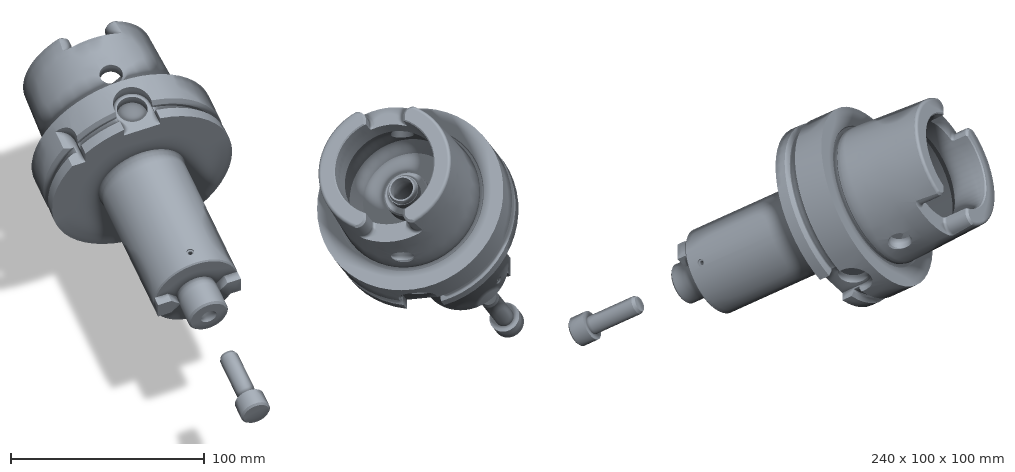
import cadquery as cq
import math

CLEARANCE = 1.0
BEVEL_ANGLE = 45.0

SHANK_LENGTH = 50.0
SHANK_BASE_RADIUS = 38.0
SHANK_TAPER = 1 / 20
SHANK_END_FILLET = 1.7
SHANK_TIP_RADIUS = SHANK_BASE_RADIUS - SHANK_TAPER * SHANK_LENGTH
LAND_START_X = -3.2
LAND_END_X = -1.4
RELIEF_DEPTH = 0.5
FACE_RECESS_RADIUS = 39.5
FACE_RECESS_DEPTH = 0.5

BORE_RADIUS = 26.5
BORE_ENTRY_RADIUS = 27.1
RECESS_START_X = -30.5
RECESS_RADIUS = 31.0
BORE_FLOOR_RADIUS = 25.3
BORE_FLOOR_X = 0.0
COLLAR_RADIUS = 12.0
COLLAR_X = -8.0
COLLAR_CHAMFER = 0.8
NOSE_RADIUS = 8.0
NOSE_STEP_X = -13.3
NOSE_CONE_RADIUS = 15.3 / 2
NOSE_TIP_RADIUS = 6.9
NOSE_TIP_X = -16.2
COOLANT_BORE_RADIUS = 6.0
COOLANT_BORE_END_X = 85.0
THREAD_RADIUS = 8.7 / 2
ACCESS_HOLE_DIAMETER = 12.0
ACCESS_HOLE_X = -14.8
COUNTERSINK_HEIGHT = 3.0

DRIVE_SLOT_HALF_WIDTH = 10.0
DRIVE_SLOT_FLARE_RADIUS = 5.0
DRIVE_SLOT_FLARE_Z = 27.0
TOP_DRIVE_SLOT_DEPTH = 9.6
BOTTOM_DRIVE_SLOT_DEPTH = 14.6
DRIVE_SLOT_CHAMFER = 1.2
DRIVE_SLOT_FILLET = 1.5

FLANGE_RADIUS = 50.0
FLANGE_WIDTH = 29.0
GROOVE_CENTRE_X = 19.95
GROOVE_RADIUS = 46.0
GROOVE_BOTTOM_WIDTH = 3.6
GROOVE_MOUTH_WIDTH = 6.5
GROOVE_FLANK_ANGLE = 30.0
GROOVE_FLANK_WIDTH = (GROOVE_MOUTH_WIDTH - GROOVE_BOTTOM_WIDTH) / 2
GROOVE_FLANK_DEPTH = GROOVE_FLANK_WIDTH / math.tan(math.radians(GROOVE_FLANK_ANGLE))

KEYWAY_RADIUS = 10.0
KEYWAY_END_X = 15.0
KEYWAY_FLOOR = 44.0
KEYWAY_POCKET_RADIUS = 8.0
KEYWAY_POCKET_DEPTH = 5.0
NOTCH_OFFSET = 31.5

ARBOR_RADIUS = 23.5
ARBOR_END_X = 105.0
ARBOR_CHAMFER = 0.7
FOOT_RADIUS = 24.2
FOOT_LENGTH = 2.7
PILOT_RADIUS = 11.0
PILOT_END_X = 123.0
PILOT_CHAMFER = 1.0
PILOT_RELIEF_RADIUS = 21.6 / 2
PILOT_RELIEF_LENGTH = 2.0
OUTLET_X = 97.0
OUTLET_RADIUS = 2.0
OUTLET_DEPTH = 1.0
OUTLET_BORE_RADIUS = 2.31 / 2
OUTLET_BORE_DEPTH = 8.0
OUTLET_COUNT = 3

KEY_WIDTH = 10.0
KEY_HEIGHT = 5.0
KEY_OUTER_Y = 23.0
KEY_SHOULDER_Y = 15.6

SCREW_TIP_X = 150.0
SCREW_SHANK_LENGTH = 30.0
SCREW_HEAD_LENGTH = 10.0
SCREW_RADIUS = 5.0
SCREW_TIP_RADIUS = 4.1
SCREW_TIP_LENGTH = 1.7
SCREW_HEAD_RADIUS = 8.0
SCREW_HEAD_CHAMFER = 1.0


def revolved(points):
    """Solid of revolution about the X axis from an (x, radius) outline."""
    return cq.Workplane("XY").polyline(points).close().revolve(360, (0, 0, 0), (1, 0, 0))


def radial_cylinder(x, radius, bottom, top):
    """Cylinder along Z from height bottom to height top, centred on the point (x, 0)."""
    return cq.Workplane("XY", origin=(x, 0, bottom)).circle(radius).extrude(top - bottom)


def holder_blank():
    """Solid turned shape of the shank, flange, arbor and pilot."""
    land_radius = SHANK_BASE_RADIUS + SHANK_TAPER * LAND_START_X
    relief_radius = land_radius - RELIEF_DEPTH
    blank = revolved([
        (-SHANK_LENGTH, 0),
        (-SHANK_LENGTH, SHANK_TIP_RADIUS),
        (LAND_START_X, land_radius),
        (LAND_END_X, land_radius),
        (LAND_END_X + RELIEF_DEPTH, relief_radius),
        (FACE_RECESS_DEPTH, relief_radius),
        (FACE_RECESS_DEPTH, FACE_RECESS_RADIUS - FACE_RECESS_DEPTH),
        (0, FACE_RECESS_RADIUS),
        (0, FLANGE_RADIUS),
        (GROOVE_CENTRE_X - GROOVE_MOUTH_WIDTH / 2, FLANGE_RADIUS),
        (GROOVE_CENTRE_X - GROOVE_BOTTOM_WIDTH / 2, FLANGE_RADIUS - GROOVE_FLANK_DEPTH),
        (GROOVE_CENTRE_X - GROOVE_BOTTOM_WIDTH / 2, GROOVE_RADIUS),
        (GROOVE_CENTRE_X + GROOVE_BOTTOM_WIDTH / 2, GROOVE_RADIUS),
        (GROOVE_CENTRE_X + GROOVE_BOTTOM_WIDTH / 2, FLANGE_RADIUS - GROOVE_FLANK_DEPTH),
        (GROOVE_CENTRE_X + GROOVE_MOUTH_WIDTH / 2, FLANGE_RADIUS),
        (FLANGE_WIDTH, FLANGE_RADIUS),
        (FLANGE_WIDTH, FOOT_RADIUS),
        (FLANGE_WIDTH + FOOT_LENGTH, ARBOR_RADIUS),
        (ARBOR_END_X - ARBOR_CHAMFER, ARBOR_RADIUS),
        (ARBOR_END_X, ARBOR_RADIUS - ARBOR_CHAMFER),
        (ARBOR_END_X, PILOT_RELIEF_RADIUS),
        (ARBOR_END_X + PILOT_RELIEF_LENGTH, PILOT_RELIEF_RADIUS),
        (ARBOR_END_X + PILOT_RELIEF_LENGTH, PILOT_RADIUS),
        (PILOT_END_X - PILOT_CHAMFER, PILOT_RADIUS),
        (PILOT_END_X, PILOT_RADIUS - PILOT_CHAMFER),
        (PILOT_END_X, 0),
    ])
    return blank.faces("<X").edges().fillet(SHANK_END_FILLET)


def clamping_bore():
    """Bore of the shank, with the coolant nose left standing on its floor."""
    entry_chamfer = BORE_ENTRY_RADIUS - BORE_RADIUS
    recess_depth = RECESS_RADIUS - BORE_RADIUS
    floor_chamfer = RECESS_RADIUS - BORE_FLOOR_RADIUS
    return revolved([
        (-SHANK_LENGTH, 0),
        (-SHANK_LENGTH, BORE_ENTRY_RADIUS),
        (-SHANK_LENGTH + entry_chamfer, BORE_RADIUS),
        (RECESS_START_X, BORE_RADIUS),
        (RECESS_START_X + recess_depth, RECESS_RADIUS),
        (BORE_FLOOR_X - floor_chamfer, RECESS_RADIUS),
        (BORE_FLOOR_X, BORE_FLOOR_RADIUS),
        (BORE_FLOOR_X, COLLAR_RADIUS),
        (COLLAR_X + COLLAR_CHAMFER, COLLAR_RADIUS),
        (COLLAR_X, COLLAR_RADIUS - COLLAR_CHAMFER),
        (COLLAR_X, NOSE_RADIUS),
        (NOSE_STEP_X, NOSE_RADIUS),
        (NOSE_STEP_X, NOSE_CONE_RADIUS),
        (NOSE_TIP_X, NOSE_TIP_RADIUS),
        (NOSE_TIP_X, COOLANT_BORE_RADIUS),
        (COOLANT_BORE_END_X, COOLANT_BORE_RADIUS),
        (COOLANT_BORE_END_X, THREAD_RADIUS),
        (PILOT_END_X, THREAD_RADIUS),
        (PILOT_END_X, 0),
    ])


def drive_slot_outline(x):
    """Outline across the slot at the given X; its walls flare out towards the outside."""
    half = DRIVE_SLOT_HALF_WIDTH
    flare = DRIVE_SLOT_FLARE_RADIUS
    flare_top = DRIVE_SLOT_FLARE_Z + flare
    diagonal = flare * math.sqrt(0.5)
    arc_y = half + flare - diagonal
    arc_z = DRIVE_SLOT_FLARE_Z + diagonal
    outer_y = 2 * half
    return (
        cq.Workplane("YZ", origin=(x, 0, 0))
        .moveTo(-half, 0)
        .lineTo(-half, DRIVE_SLOT_FLARE_Z)
        .threePointArc((-arc_y, arc_z), (-half - flare, flare_top))
        .lineTo(-outer_y, flare_top)
        .lineTo(-outer_y, FLANGE_RADIUS)
        .lineTo(outer_y, FLANGE_RADIUS)
        .lineTo(outer_y, flare_top)
        .lineTo(half + flare, flare_top)
        .threePointArc((arc_y, arc_z), (half, DRIVE_SLOT_FLARE_Z))
        .lineTo(half, 0)
        .close()
    )


def drive_slot(depth):
    """Slot through the +Z wall of the shank end, chamfered at its mouth and filleted at its floor."""
    slot = drive_slot_outline(-SHANK_LENGTH).extrude(depth)
    slot = slot.faces(">X").edges().fillet(DRIVE_SLOT_FILLET)
    mouth = drive_slot_outline(DRIVE_SLOT_CHAMFER - SHANK_LENGTH)
    return slot.union(mouth.extrude(-DRIVE_SLOT_CHAMFER, taper=-BEVEL_ANGLE))


def access_hole():
    """Hole from outside into the clamping bore at +Z, with a 45 degree countersink.

    The countersink fades out at the hole's sides, where the round shank falls away.
    """
    radius = ACCESS_HOLE_DIAMETER / 2
    hole = radial_cylinder(ACCESS_HOLE_X, radius, COLLAR_RADIUS, FLANGE_RADIUS)
    surface_radius = SHANK_BASE_RADIUS + SHANK_TAPER * ACCESS_HOLE_X
    cone_base = math.sqrt(surface_radius ** 2 - radius ** 2)
    cone = cq.Workplane("XY", origin=(ACCESS_HOLE_X, 0, cone_base)).circle(radius)
    return hole.union(cone.extrude(COUNTERSINK_HEIGHT, taper=-BEVEL_ANGLE))


def keyway():
    """Round-ended keyway in the flange at +Z, open towards +X."""
    top = FLANGE_RADIUS + CLEARANCE
    straight_length = FLANGE_WIDTH - KEYWAY_END_X
    straight = cq.Workplane("XY").box(
        straight_length, 2 * KEYWAY_RADIUS, top - KEYWAY_FLOOR, centered=(False, True, False)
    ).translate((KEYWAY_END_X, 0, KEYWAY_FLOOR))
    pocket = radial_cylinder(KEYWAY_END_X, KEYWAY_POCKET_RADIUS, KEYWAY_FLOOR - KEYWAY_POCKET_DEPTH, top)
    return straight.union(radial_cylinder(KEYWAY_END_X, KEYWAY_RADIUS, KEYWAY_FLOOR, top)).union(pocket)


def corner_notch():
    """Round-ended step cut into the flange between -Y and +Z, open towards +X."""
    height = FLANGE_RADIUS - NOTCH_OFFSET
    straight = cq.Workplane("XY").box(
        FLANGE_WIDTH - KEYWAY_END_X, 2 * KEYWAY_RADIUS, height, centered=(False, True, False)
    ).translate((KEYWAY_END_X, 0, NOTCH_OFFSET))
    end = radial_cylinder(KEYWAY_END_X, KEYWAY_RADIUS, NOTCH_OFFSET, FLANGE_RADIUS)
    return straight.union(end).translate((0, -NOTCH_OFFSET - KEYWAY_RADIUS, 0))


def outlet():
    """Small stepped blind hole into the arbor at +Z."""
    mouth = radial_cylinder(OUTLET_X, OUTLET_RADIUS, ARBOR_RADIUS - OUTLET_DEPTH, ARBOR_RADIUS + CLEARANCE)
    bore = radial_cylinder(OUTLET_X, OUTLET_BORE_RADIUS, ARBOR_RADIUS - OUTLET_BORE_DEPTH, ARBOR_RADIUS)
    return mouth.union(bore)


def drive_key():
    """Drive key at +Y; its inner corners are bevelled."""
    half = KEY_WIDTH / 2
    return (
        cq.Workplane("YZ", origin=(ARBOR_END_X, 0, 0))
        .polyline([
            (KEY_OUTER_Y, -half),
            (KEY_OUTER_Y, half),
            (KEY_SHOULDER_Y, half),
            (KEY_SHOULDER_Y - half, 0),
            (KEY_SHOULDER_Y, -half),
        ])
        .close()
        .extrude(KEY_HEIGHT)
    )


def turned(shape, angle):
    """The shape turned about the X axis."""
    return shape.rotate((0, 0, 0), (1, 0, 0), angle)


def make_holder():
    body = holder_blank()
    for angle in (0, 180):
        body = body.union(turned(drive_key(), angle))
    body = body.cut(clamping_bore())
    body = body.cut(drive_slot(TOP_DRIVE_SLOT_DEPTH))
    body = body.cut(turned(drive_slot(BOTTOM_DRIVE_SLOT_DEPTH), 180))
    for angle in (0, 180):
        body = body.cut(turned(keyway(), angle))
        body = body.cut(turned(access_hole(), angle))
    body = body.cut(corner_notch())
    for index in range(OUTLET_COUNT):
        body = body.cut(turned(outlet(), index * 360 / OUTLET_COUNT))
    return body


def make_screw():
    head_x = SCREW_TIP_X + SCREW_SHANK_LENGTH
    end_x = head_x + SCREW_HEAD_LENGTH
    return revolved([
        (SCREW_TIP_X, 0),
        (SCREW_TIP_X, SCREW_TIP_RADIUS),
        (SCREW_TIP_X + SCREW_TIP_LENGTH, SCREW_RADIUS),
        (head_x, SCREW_RADIUS),
        (head_x, SCREW_HEAD_RADIUS),
        (end_x - SCREW_HEAD_CHAMFER, SCREW_HEAD_RADIUS),
        (end_x, SCREW_HEAD_RADIUS - SCREW_HEAD_CHAMFER),
        (end_x, 0),
    ])


holder = make_holder()
screw = make_screw()
result = cq.Compound.makeCompound([holder.val(), screw.val()])